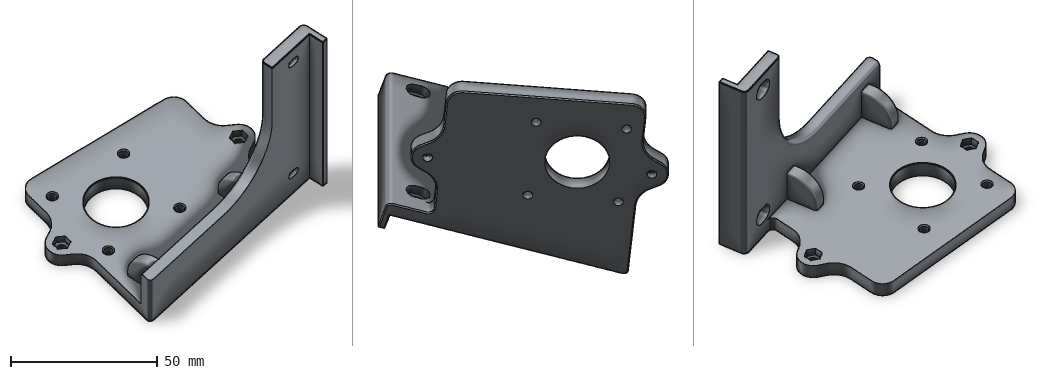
import cadquery as cq
import math

height = 76.0
depth = 88.4
width = 75.9
underside_break = 0.4
wall_break = 0.3

plate_turn = -12.0
plate_thickness = 6.0
plate_left = -26.2
plate_front = -21.7
plate_back = 46.9
plate_corner_radius = 5.5
bore_diameter = 22.2
bore_break = 0.3
screw_diameter = 3.3
screw_spacing = 31.0
screw_break = 0.4

ear_u = 2.8
ear_offset = 4.25
ear_radius = 5.7
ear_blend_radius = 8.5
ear_flank_angle = 30.0
nut_corner_diameter = 6.4
nut_depth = 3.0

wall_thickness = 5.0
flange_thickness = 2.5
flange_reach = 11.0
back_corner_radius = 2.0
front_corner_radius = 1.5
notch_blend_radius = 2.0
post_depth = 22.5
ledge_height = 22.1
wall_sweep_radius = 26.0
rim_radius = 1.5

slot_width = 3.3
slot_recess_width = 6.6
slot_travel = 1.8
slot_recess_depth = 3.3
slot_from_back = 11.05
slot_from_top = 7.0
slot_spacing = 58.4

rib_size = 12.0
rib_arc_radius = 10.0
rib_thickness = 5.0
rib_edge_radius = 1.0
rib_centers_y = (-20.4, 27.9)

turn = math.radians(plate_turn)


def to_part(u, v):
    """Turn a plate-frame point into part X, Y."""
    return (
        u * math.cos(turn) - v * math.sin(turn),
        u * math.sin(turn) + v * math.cos(turn),
    )


def edge_y(v, x):
    """Y at which the plate edge at the given v crosses the given X."""
    return (v + x * math.sin(turn)) / math.cos(turn)


ear_centers = [(ear_u, plate_front - ear_offset), (ear_u, plate_back + ear_offset)]
corner_center = to_part(plate_left + plate_corner_radius, plate_front + plate_corner_radius)
wall_outer_x = corner_center[0] - plate_corner_radius + width - flange_reach
wall_inner_x = wall_outer_x + wall_thickness
flange_tip_x = wall_outer_x + flange_reach
back_y = to_part(*ear_centers[0])[1] - ear_radius + depth
post_front_y = back_y - post_depth


def round_upright_edge(solid, x, y, z, radius):
    """Fillet the one vertical edge that passes nearest the point."""
    edge = cq.selectors.NearestToPointSelector((x, y, z))
    return solid.edges("|Z").edges(edge).fillet(radius)


def make_ear(center_v, outward):
    """Round ear whose flanks run tangent from the ear circle to the plate edge."""
    flank = math.radians(ear_flank_angle)
    tangent_u = ear_radius * math.cos(flank)
    tangent_v = center_v + outward * ear_radius * math.sin(flank)
    edge_v = center_v - outward * ear_offset
    foot_u = tangent_u + abs(tangent_v - edge_v) * math.tan(flank)
    ear = (
        cq.Workplane("XY")
        .moveTo(ear_u - foot_u, edge_v)
        .lineTo(ear_u - tangent_u, tangent_v)
        .threePointArc((ear_u, center_v + outward * ear_radius), (ear_u + tangent_u, tangent_v))
        .lineTo(ear_u + foot_u, edge_v)
        .close()
        .extrude(plate_thickness)
    )
    feet = [(ear_u - foot_u, edge_v), (ear_u + foot_u, edge_v)]
    return ear, feet


def make_plate():
    """Turned plate with rounded left corners and blended ears, trimmed at the wall."""
    overrun = width
    plate = (
        cq.Workplane("XY")
        .box(overrun - plate_left, plate_back - plate_front, plate_thickness, centered=False)
        .translate((plate_left, plate_front, 0))
        .edges("|Z and <X")
        .fillet(plate_corner_radius)
    )
    for (_, center_v), outward in zip(ear_centers, (-1, 1)):
        ear, feet = make_ear(center_v, outward)
        plate = plate.union(ear)
        for u, v in feet:
            plate = round_upright_edge(plate, u, v, plate_thickness / 2, ear_blend_radius)
    plate = plate.rotate((0, 0, 0), (0, 0, 1), plate_turn)
    beyond_wall = (
        cq.Workplane("XY")
        .box(2 * width, 4 * depth, 4 * plate_thickness, centered=(False, True, True))
        .translate((wall_outer_x + wall_thickness / 2, 0, 0))
    )
    return plate.cut(beyond_wall)


def make_wall():
    """L-section wall, swept down from the back post to a low ledge."""
    front_outer = (wall_outer_x, edge_y(plate_front, wall_outer_x))
    front_inner = (wall_inner_x, edge_y(plate_front, wall_inner_x))
    wall = (
        cq.Workplane("XY")
        .polyline([
            front_outer,
            front_inner,
            (wall_inner_x, back_y - flange_thickness),
            (flange_tip_x, back_y - flange_thickness),
            (flange_tip_x, back_y),
            (wall_outer_x, back_y),
        ])
        .close()
        .extrude(height)
    )
    wall = round_upright_edge(wall, *front_inner, height / 2, front_corner_radius)
    wall = round_upright_edge(wall, wall_outer_x, back_y, height / 2, back_corner_radius)

    sweep_bottom_y = post_front_y - wall_sweep_radius
    sweep_top_z = ledge_height + wall_sweep_radius
    sweep_middle = wall_sweep_radius * (1 - math.sqrt(0.5))
    opening = (
        cq.Workplane("YZ", origin=(wall_outer_x, 0, 0))
        .moveTo(post_front_y, height)
        .lineTo(post_front_y, sweep_top_z)
        .threePointArc(
            (post_front_y - sweep_middle, ledge_height + sweep_middle),
            (sweep_bottom_y, ledge_height),
        )
        .lineTo(-depth, ledge_height)
        .lineTo(-depth, height)
        .close()
        .extrude(wall_thickness)
    )
    wall = wall.cut(opening)

    on_sweep = (wall_outer_x, post_front_y - sweep_middle, ledge_height + sweep_middle)
    wall = wall.edges(cq.selectors.NearestToPointSelector(on_sweep)).fillet(rim_radius)
    wall = wall.edges("|Z and >X").chamfer(wall_break)
    return wall.faces(">Z").edges().chamfer(wall_break)


def make_rib(center_y):
    """Quarter-round rib standing on the plate against the wall."""
    tip_x = wall_outer_x - rib_size
    top_z = plate_thickness + rib_size
    buried = wall_thickness / 2
    arc_middle = rib_arc_radius * (1 - math.sqrt(0.5))
    rib = (
        cq.Workplane("XZ", origin=(0, center_y + rib_thickness / 2, 0))
        .moveTo(wall_outer_x + buried, plate_thickness - buried)
        .lineTo(tip_x, plate_thickness - buried)
        .lineTo(tip_x, top_z - rib_arc_radius)
        .threePointArc((tip_x + arc_middle, top_z - arc_middle), (tip_x + rib_arc_radius, top_z))
        .lineTo(wall_outer_x + buried, top_z)
        .close()
        .extrude(rib_thickness)
    )
    return rib.edges("|Z and <X").fillet(rib_edge_radius)


def cut_slot(solid, center_z):
    """Recessed slot through the post, its length along Y."""
    face = cq.Workplane("YZ", origin=(wall_outer_x, back_y - slot_from_back, center_z))
    through = face.slot2D(slot_width + slot_travel, slot_width).extrude(wall_thickness)
    recess = face.slot2D(slot_recess_width + slot_travel, slot_recess_width).extrude(slot_recess_depth)
    return solid.cut(through).cut(recess)


def cut_hole(solid, u, v, diameter, top_break=0.0):
    """Vertical hole through the plate with an optional chamfered upper rim."""
    x, y = to_part(u, v)
    solid = solid.cut(cq.Workplane("XY").center(x, y).circle(diameter / 2).extrude(plate_thickness))
    if top_break > 0:
        cone = cq.Solid.makeCone(
            diameter / 2, diameter / 2 + top_break, top_break, cq.Vector(x, y, plate_thickness - top_break)
        )
        solid = solid.cut(cq.Workplane(cone))
    return solid


def cut_nut_pocket(solid, u, v):
    """Hexagonal nut pocket sunk from the plate's upper face."""
    pocket = (
        cq.Workplane("XY", origin=(0, 0, plate_thickness - nut_depth))
        .center(u, v)
        .polygon(6, nut_corner_diameter)
        .extrude(nut_depth)
        .rotate((0, 0, 0), (0, 0, 1), plate_turn)
    )
    return solid.cut(pocket)


body = make_plate().union(make_wall())
notch = (wall_outer_x, edge_y(plate_back, wall_outer_x), plate_thickness / 2)
body = round_upright_edge(body, *notch, notch_blend_radius)
body = body.faces("<Z").edges().chamfer(underside_break)
for rib_y in rib_centers_y:
    body = body.union(make_rib(rib_y))

body = cut_hole(body, 0, 0, bore_diameter, bore_break)
for sign_u in (-1, 1):
    for sign_v in (-1, 1):
        screw_u = sign_u * screw_spacing / 2
        screw_v = sign_v * screw_spacing / 2
        body = cut_hole(body, screw_u, screw_v, screw_diameter, screw_break)
for ear_center in ear_centers:
    body = cut_hole(body, *ear_center, screw_diameter)
    body = cut_nut_pocket(body, *ear_center)
top_slot_z = height - slot_from_top
for slot_z in (top_slot_z - slot_spacing, top_slot_z):
    body = cut_slot(body, slot_z)

result = body